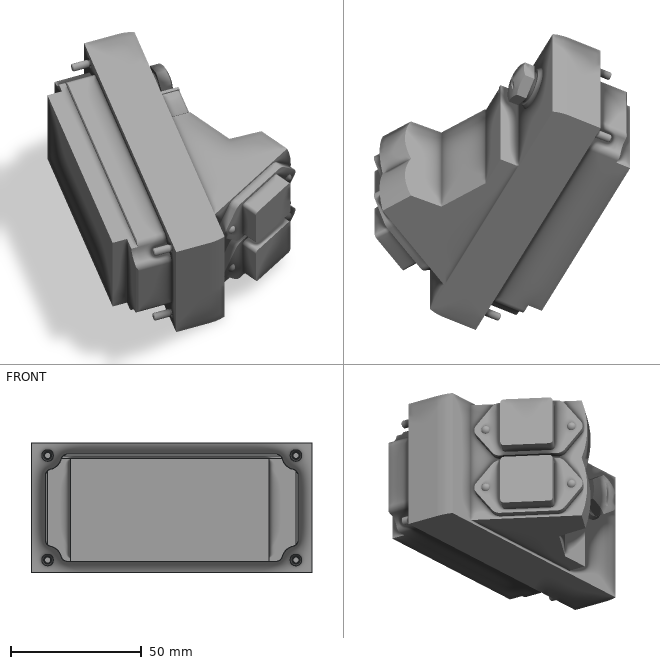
import cadquery as cq
import math


PLATE_LENGTH = 107.6
PLATE_HEIGHT = 49.7
PLATE_DEPTH = 20.0
PLATE_STRAIGHT_DEPTH = 13.8
PLATE_END_SETBACK = 1.1

TOWER_HEIGHT = 47.6
TOWER_LEFT_X = -22.7
TOWER_SHELF_Y = 27.4
TOWER_FOOT = 0.4
RAMP_START_X = -10.0
WALL_BOTTOM_X = 7.6
WALL_TOP_X = 8.2
SLANT_ANGLE = math.radians(30)
SLANT_TOP = (19.4, 56.9)
LOBE_COUNT = 2
LOBE_RISE = 2.2

COVER_LENGTH = 11.3
COVER_THICKNESS = 3.2
COVER_LEFT_X = -21.2
COVER_GAP = 0.3
COVER_RECESS = 0.2
COVER_CHAMFER = 0.6

INSERT_LENGTH = 96.8
INSERT_HEIGHT = 41.1
INSERT_DEPTH = 14.2
INSERT_CORNER_RADIUS = 5.4
INSERT_EDGE_RADIUS = 2.6
INSERT_END_CHAMFER = 0.8
REBATE_DEPTH = 2.6
REBATE_HEIGHT = 1.6
REBATE_CHAMFER_DEPTH = 0.3
REBATE_CHAMFER_HEIGHT = 0.6
BLOCK_LEFT_X = -38.8
BLOCK_RIGHT_X = 37.2
BLOCK_DEPTH = 5.8

PIN_X = 47.6
PIN_Z = 20.0
PIN_DIAMETER = 3.0
PIN_LENGTH = 7.1
PIN_CHAMFER = 0.3
PIN_NECK_DIAMETER = 2.3
PIN_NECK_LENGTH = 0.6
PIN_EMBEDDED_LENGTH = 6.5
COUNTERSINK_DIAMETER = 4.4

SCREW_X = -35.7
SCREW_Z = 10.4
BOSS_BASE_DIAMETER = 16.8
BOSS_TOP_DIAMETER = 14.6
BOSS_HEIGHT = 1.4
COLLAR_DIAMETER = 12.5
COLLAR_HEIGHT = 0.9
NECK_DIAMETER = 10.9
NECK_HEIGHT = 0.6
HEAD_CORNER_DIAMETER = 16.2
HEAD_HEIGHT = 6.0
HEAD_DOME_RADIUS = 16.7
SLOT_WIDTH = 1.5
SLOT_DEPTH = 0.8

FLANGE_LENGTH = 41.7
FLANGE_HEIGHT = 21.7
FLANGE_THICKNESS = 3.5
FLANGE_EAR_ANGLE = math.radians(51)
FLANGE_SIDE_RADIUS = 3.8
FLANGE_TIP_RADIUS = 2.8
FLANGE_OVERHANG = 0.8
PLUG_LENGTH = 20.2
PLUG_HEIGHT = 18.9
PLUG_DEPTH = 6.8
PLUG_CORNER_RADIUS = 1.4
STUD_SPACING = 33.0
STUD_DIAMETER = 3.3
STUD_RISE = 1.3

lobe_width = TOWER_HEIGHT / LOBE_COUNT
lobe_centres = [(i - (LOBE_COUNT - 1) / 2) * lobe_width for i in range(LOBE_COUNT)]
pin_positions = [(sx * PIN_X, sz * PIN_Z) for sx in (-1, 1) for sz in (-1, 1)]


def along_slant(distance_up):
    """XY point on the slanted face, measured uphill from its top edge."""
    return (
        SLANT_TOP[0] - distance_up * math.sin(SLANT_ANGLE),
        SLANT_TOP[1] + distance_up * math.cos(SLANT_ANGLE),
    )


def slant_plane(distance_up, z):
    """Plane on the slanted face: local x uphill, local y along Z, normal outwards."""
    x, y = along_slant(distance_up)
    return cq.Plane(
        origin=(x, y, z),
        xDir=(-math.sin(SLANT_ANGLE), math.cos(SLANT_ANGLE), 0),
        normal=(math.cos(SLANT_ANGLE), math.sin(SLANT_ANGLE), 0),
    )


def axis_plane(x, y, z):
    """Plane facing +Y with local x along X, for parts turned about the Y direction."""
    return cq.Plane(origin=(x, y, z), xDir=(1, 0, 0), normal=(0, 1, 0))


def revolve_about_y(profile, x, z):
    """Turn a closed (radius, y) profile about the line parallel to Y through x, z."""
    return (
        cq.Workplane("XY")
        .polyline(profile)
        .close()
        .revolve(360, (0, 0, 0), (0, 1, 0))
        .translate((x, 0, z))
    )


def make_plate():
    half_length = PLATE_LENGTH / 2
    arc_depth = PLATE_DEPTH - PLATE_STRAIGHT_DEPTH
    return (
        cq.Workplane("XY")
        .moveTo(0, PLATE_DEPTH)
        .lineTo(0, 0)
        .lineTo(half_length, 0)
        .lineTo(half_length, PLATE_STRAIGHT_DEPTH)
        .tangentArcPoint((-PLATE_END_SETBACK, arc_depth))
        .close()
        .extrude(PLATE_HEIGHT / 2, both=True)
        .mirror("YZ", union=True)
    )


def make_lobed_end():
    """Envelope of the tower whose uphill end has one round lobe per connector."""
    reach = 2 * PLATE_LENGTH
    outline = cq.Workplane(slant_plane(0, 0)).moveTo(0, -TOWER_HEIGHT / 2)
    for centre in lobe_centres:
        outline = outline.threePointArc((LOBE_RISE, centre), (0, centre + lobe_width / 2))
    return (
        outline.lineTo(-reach, TOWER_HEIGHT / 2)
        .lineTo(-reach, -TOWER_HEIGHT / 2)
        .close()
        .extrude(reach, both=True)
    )


def make_tower():
    crest_x, crest_y = along_slant(LOBE_RISE)
    crest_left_y = crest_y - (crest_x - WALL_TOP_X) * math.tan(SLANT_ANGLE)
    ramp_end_y = TOWER_SHELF_Y + (WALL_BOTTOM_X - RAMP_START_X) * math.tan(SLANT_ANGLE)
    drop_to_plate = (SLANT_TOP[1] - PLATE_DEPTH) / math.cos(SLANT_ANGLE)
    outline = [
        along_slant(-drop_to_plate),
        (crest_x, crest_y),
        (WALL_TOP_X, crest_left_y),
        (WALL_BOTTOM_X, ramp_end_y),
        (RAMP_START_X, TOWER_SHELF_Y),
        (TOWER_LEFT_X, TOWER_SHELF_Y),
        (TOWER_LEFT_X, PLATE_DEPTH + TOWER_FOOT),
        (TOWER_LEFT_X - TOWER_FOOT, PLATE_DEPTH),
    ]
    prism = cq.Workplane("XY").polyline(outline).close().extrude(TOWER_HEIGHT / 2, both=True)
    return prism.intersect(make_lobed_end())


def cover_blank(gap, top_z):
    """Box of the cover, enlarged by a gap at both ends and towards the plate."""
    bottom_z = TOWER_HEIGHT / 2 - COVER_THICKNESS
    front_y = PLATE_DEPTH + COVER_GAP - gap
    return cq.Workplane("XY").box(
        COVER_LENGTH + 2 * gap, TOWER_SHELF_Y - front_y, top_z - bottom_z, centered=False
    ).translate((COVER_LEFT_X - gap, front_y, bottom_z))


def make_cover():
    top_z = TOWER_HEIGHT / 2 - COVER_RECESS
    return cover_blank(0, top_z).edges(">Y and >Z").chamfer(COVER_CHAMFER)


def make_boss():
    return revolve_about_y(
        [
            (0, PLATE_DEPTH),
            (BOSS_BASE_DIAMETER / 2, PLATE_DEPTH),
            (BOSS_TOP_DIAMETER / 2, PLATE_DEPTH + BOSS_HEIGHT),
            (0, PLATE_DEPTH + BOSS_HEIGHT),
        ],
        SCREW_X,
        SCREW_Z,
    )


def make_pin_hole(x, z):
    neck_radius = PIN_NECK_DIAMETER / 2
    sink_radius = COUNTERSINK_DIAMETER / 2
    return revolve_about_y(
        [
            (0, 0),
            (sink_radius, 0),
            (neck_radius, sink_radius - neck_radius),
            (neck_radius, PIN_EMBEDDED_LENGTH),
            (0, PIN_EMBEDDED_LENGTH),
        ],
        x,
        z,
    )


def make_housing():
    housing = make_plate().union(make_tower()).union(make_boss())
    housing = housing.cut(cover_blank(COVER_GAP, TOWER_HEIGHT / 2))
    for x, z in pin_positions:
        housing = housing.cut(make_pin_hole(x, z))
    return housing


def make_insert():
    body = cq.Workplane("XY").box(
        INSERT_LENGTH, INSERT_DEPTH, INSERT_HEIGHT
    ).translate((0, -INSERT_DEPTH / 2, 0))

    for x, z in pin_positions:
        notch = cq.Workplane(axis_plane(x, -INSERT_DEPTH, z)).circle(INSERT_CORNER_RADIUS)
        body = body.cut(notch.extrude(INSERT_DEPTH))
    body = body.edges("|Y").fillet(INSERT_EDGE_RADIUS)

    half_length = INSERT_LENGTH / 2
    for side in (-1, 1):
        end_chamfer = (
            cq.Workplane("XY")
            .polyline(
                [
                    (side * half_length, -INSERT_DEPTH),
                    (side * (half_length - INSERT_END_CHAMFER), -INSERT_DEPTH),
                    (side * half_length, -INSERT_DEPTH + INSERT_END_CHAMFER),
                ]
            )
            .close()
            .extrude(INSERT_HEIGHT / 2, both=True)
        )
        body = body.cut(end_chamfer)

    top_z = INSERT_HEIGHT / 2
    step_y = -INSERT_DEPTH + REBATE_DEPTH
    rebate = (
        cq.Workplane("YZ")
        .polyline(
            [
                (-INSERT_DEPTH, top_z),
                (step_y + REBATE_CHAMFER_DEPTH, top_z),
                (step_y, top_z - REBATE_CHAMFER_HEIGHT),
                (step_y, top_z - REBATE_HEIGHT),
                (-INSERT_DEPTH, top_z - REBATE_HEIGHT),
            ]
        )
        .close()
        .extrude(half_length, both=True)
    )

    block = cq.Workplane("XY").box(
        BLOCK_RIGHT_X - BLOCK_LEFT_X, BLOCK_DEPTH, INSERT_HEIGHT - REBATE_HEIGHT, centered=False
    ).translate((BLOCK_LEFT_X, -INSERT_DEPTH - BLOCK_DEPTH, -INSERT_HEIGHT / 2))
    return body.cut(rebate).union(block)


def make_pin(x, z):
    radius = PIN_DIAMETER / 2
    neck_radius = PIN_NECK_DIAMETER / 2
    return revolve_about_y(
        [
            (0, PIN_EMBEDDED_LENGTH),
            (neck_radius, PIN_EMBEDDED_LENGTH),
            (neck_radius, -PIN_NECK_LENGTH),
            (radius, -PIN_NECK_LENGTH),
            (radius, -PIN_LENGTH + PIN_CHAMFER),
            (radius - PIN_CHAMFER, -PIN_LENGTH),
            (0, -PIN_LENGTH),
        ],
        x,
        z,
    )


def make_hex_screw():
    seat_y = PLATE_DEPTH + BOSS_HEIGHT
    neck_y = seat_y + COLLAR_HEIGHT
    head_y = neck_y + NECK_HEIGHT
    top_y = head_y + HEAD_HEIGHT
    collar = revolve_about_y(
        [
            (0, seat_y),
            (COLLAR_DIAMETER / 2, seat_y),
            (NECK_DIAMETER / 2, neck_y),
            (NECK_DIAMETER / 2, head_y),
            (0, head_y),
        ],
        SCREW_X,
        SCREW_Z,
    )
    dome = cq.Workplane("XY").sphere(HEAD_DOME_RADIUS)
    dome = dome.translate((SCREW_X, top_y - HEAD_DOME_RADIUS, SCREW_Z))
    hexagon = (
        cq.Workplane(axis_plane(SCREW_X, head_y, SCREW_Z))
        .transformed(rotate=(0, 0, 90))
        .polygon(6, HEAD_CORNER_DIAMETER)
        .extrude(HEAD_HEIGHT)
    )
    slot = cq.Workplane("XY").box(SLOT_WIDTH, 2 * SLOT_DEPTH, HEAD_CORNER_DIAMETER)
    slot = slot.translate((SCREW_X, top_y, SCREW_Z))
    return collar.union(hexagon.intersect(dome)).cut(slot)


def make_flange(base):
    """Long hexagon whose pointed ends and side corners are rounded."""
    half_height = FLANGE_HEIGHT / 2
    tip_x = FLANGE_LENGTH / 2 - FLANGE_TIP_RADIUS + FLANGE_TIP_RADIUS / math.sin(FLANGE_EAR_ANGLE)
    side_x = tip_x - half_height / math.tan(FLANGE_EAR_ANGLE)
    tips = [(-tip_x, 0), (tip_x, 0)]
    sides = [(sx * side_x, sy * half_height) for sx in (-1, 1) for sy in (-1, 1)]
    outline = [tips[0], sides[0], sides[2], tips[1], sides[3], sides[1]]
    flange = cq.Workplane(base).polyline(outline).close().extrude(FLANGE_THICKNESS)

    for corners, radius in ((tips, FLANGE_TIP_RADIUS), (sides, FLANGE_SIDE_RADIUS)):
        for x, y in corners:
            edge_middle = base.toWorldCoords((x, y, FLANGE_THICKNESS / 2)).toTuple()
            nearest_edge = cq.selectors.NearestToPointSelector(edge_middle)
            flange = flange.edges(nearest_edge).fillet(radius)
    return flange


def make_stud(outer, x):
    """Domed stud on the outer face of the flange, a cap of a sphere."""
    stud_radius = STUD_DIAMETER / 2
    sphere_radius = (stud_radius ** 2 + STUD_RISE ** 2) / (2 * STUD_RISE)
    half_sweep = math.asin(stud_radius / sphere_radius) / 2
    arc_middle = (
        sphere_radius * math.sin(half_sweep),
        STUD_RISE - sphere_radius * (1 - math.cos(half_sweep)),
    )
    section = cq.Plane(
        origin=outer.toWorldCoords((x, 0, 0)),
        xDir=outer.xDir,
        normal=outer.yDir * -1,
    )
    return (
        cq.Workplane(section)
        .lineTo(stud_radius, 0)
        .threePointArc(arc_middle, (0, STUD_RISE))
        .close()
        .revolve(360, (0, 0, 0), (0, 1, 0))
    )


def make_connector(z):
    """Flange on the slanted face with a rounded plug body and two domed studs."""
    base = slant_plane(FLANGE_OVERHANG - FLANGE_LENGTH / 2, z)
    outer = cq.Plane(
        origin=base.toWorldCoords((0, 0, FLANGE_THICKNESS)),
        xDir=base.xDir,
        normal=base.zDir,
    )
    plug = cq.Workplane(outer).rect(PLUG_LENGTH, PLUG_HEIGHT).extrude(PLUG_DEPTH)
    plug = plug.edges(cq.selectors.ParallelDirSelector(base.zDir)).fillet(PLUG_CORNER_RADIUS)
    connector = make_flange(base).union(plug)
    for side in (-1, 1):
        connector = connector.union(make_stud(outer, side * STUD_SPACING / 2))
    return connector


housing = make_housing()
cover = make_cover()
insert = make_insert()
pins = [make_pin(x, z) for x, z in pin_positions]
hex_screw = make_hex_screw()
connectors = [make_connector(z) for z in lobe_centres]

result = cq.Compound.makeCompound(
    [
        housing.val(),
        cover.val(),
        insert.val(),
        *[pin.val() for pin in pins],
        hex_screw.val(),
        *[connector.val() for connector in connectors],
    ]
)